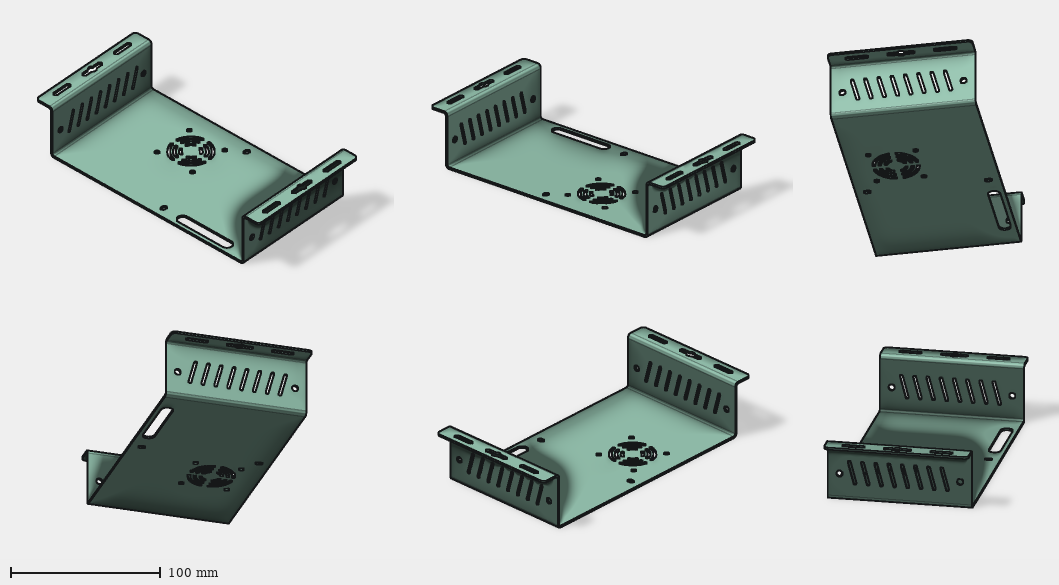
import cadquery as cq

length = 201.5
depth = 98.3
height = 41.5
sheet = 1.5
bend_inner_radius = sheet
bend_outer_radius = bend_inner_radius + sheet
tray_width = 174.5
flange_corner_radius = 3.0

flange_slot_x = 94.7
flange_slot_y = 30.0
flange_slot_length = 15.5
flange_slot_width = 3.5
keyhole_length = 18.5
keyhole_diameter = 5.8

fan_x = -20.5
fan_y = 16.5
fan_hole_pitch = 32.0
fan_hole_diameter = 3.5
fan_ring_outer_radii = (16.0, 12.0, 8.0)
fan_ring_width = 2.0
fan_spoke_width = 4.0
fan_ring_corner_radius = 0.97

screw_slot_x = 7.5
screw_slot_y = 41.0
screw_slot_length = 4.8
screw_slot_width = 3.5
cable_slot_x = 45.1
cable_slot_y = -41.7
cable_slot_length = 48.1
cable_slot_width = 8.3

wall_hole_y = 41.0
wall_hole_z = 18.5
wall_hole_diameter = 4.2
vent_count = 8
vent_row_length = 63.0
vent_pitch = vent_row_length / (vent_count - 1)
vent_center_y = 1.0
vent_center_z = 19.7
vent_length = 17.1
vent_width = 2.0
vent_tilt = 15.0


def make_sheet():
    """Hat-shaped sheet: a floor, two upright walls and two outward flanges."""
    half_length = length / 2
    wall_outside = tray_width / 2
    wall_inside = wall_outside - sheet
    flange_underside = height - sheet
    blank = (
        cq.Workplane("XZ")
        .moveTo(-half_length, height)
        .lineTo(-wall_inside, height)
        .lineTo(-wall_inside, sheet)
        .lineTo(wall_inside, sheet)
        .lineTo(wall_inside, height)
        .lineTo(half_length, height)
        .lineTo(half_length, flange_underside)
        .lineTo(wall_outside, flange_underside)
        .lineTo(wall_outside, 0)
        .lineTo(-wall_outside, 0)
        .lineTo(-wall_outside, flange_underside)
        .lineTo(-half_length, flange_underside)
        .close()
        .extrude(depth / 2, both=True)
    )
    for side in (-1, 1):
        outer_bends = ((wall_inside, height), (wall_outside, 0))
        inner_bends = ((wall_inside, sheet), (wall_outside, flange_underside))
        for bends, radius in ((outer_bends, bend_outer_radius), (inner_bends, bend_inner_radius)):
            for x, z in bends:
                edge = cq.selectors.NearestToPointSelector((side * x, 0, z))
                blank = blank.edges("|Y").edges(edge).fillet(radius)
    return blank.edges("|Z and (<X or >X)").fillet(flange_corner_radius)


def round_cutters(plane, points, diameter):
    """Round pins centred on a plane, long enough to pass through the whole bracket."""
    return cq.Workplane(plane).pushPoints(points).circle(diameter / 2).extrude(length, both=True)


def slot_cutters(plane, points, slot_length, slot_width, angle):
    """Round-ended bars centred on a plane, long enough to pass through the whole bracket."""
    bars = cq.Workplane(plane).pushPoints(points).slot2D(slot_length, slot_width, angle)
    return bars.extrude(length, both=True)


def make_flange_cuts():
    """Two slots and a central keyhole through each flange."""
    keyhole_points = [(side * flange_slot_x, 0) for side in (-1, 1)]
    slot_points = [
        (x_side * flange_slot_x, y_side * flange_slot_y)
        for x_side in (-1, 1)
        for y_side in (-1, 1)
    ]
    slots = slot_cutters("XY", slot_points, flange_slot_length, flange_slot_width, 90)
    keyhole_slots = slot_cutters("XY", keyhole_points, keyhole_length, flange_slot_width, 90)
    keyhole_rounds = round_cutters("XY", keyhole_points, keyhole_diameter)
    return slots.union(keyhole_slots).union(keyhole_rounds)


def make_fan_cuts():
    """Concentric ring slots split by a cross of spokes, with four screw holes."""
    screw_points = [
        (fan_x + x_side * fan_hole_pitch / 2, fan_y + y_side * fan_hole_pitch / 2)
        for x_side in (-1, 1)
        for y_side in (-1, 1)
    ]
    cuts = round_cutters("XY", screw_points, fan_hole_diameter)

    fan_center = cq.Workplane("XY", origin=(fan_x, fan_y, 0))
    grille_width = 2 * max(fan_ring_outer_radii)
    spoke_x = fan_center.box(grille_width, fan_spoke_width, height)
    spoke_y = fan_center.box(fan_spoke_width, grille_width, height)
    for outer_radius in fan_ring_outer_radii:
        ring = (
            fan_center.circle(outer_radius)
            .circle(outer_radius - fan_ring_width)
            .extrude(sheet)
        )
        ring_quarters = ring.cut(spoke_x).cut(spoke_y)
        cuts = cuts.union(ring_quarters.edges("|Z").fillet(fan_ring_corner_radius))
    return cuts


def make_floor_cuts():
    """Two short screw slots and one long cable slot through the floor."""
    screw_points = [(screw_slot_x, side * screw_slot_y) for side in (-1, 1)]
    cable_points = [(cable_slot_x, cable_slot_y)]
    screw_slots = slot_cutters("XY", screw_points, screw_slot_length, screw_slot_width, 90)
    cable_slot = slot_cutters("XY", cable_points, cable_slot_length, cable_slot_width, 0)
    return screw_slots.union(cable_slot)


def make_wall_cuts():
    """Tilted vent slots and two holes that pass through both walls."""
    first_vent_y = vent_center_y - vent_row_length / 2
    vent_points = [(first_vent_y + index * vent_pitch, vent_center_z) for index in range(vent_count)]
    hole_points = [(side * wall_hole_y, wall_hole_z) for side in (-1, 1)]
    vents = slot_cutters("YZ", vent_points, vent_length, vent_width, 90 - vent_tilt)
    return vents.union(round_cutters("YZ", hole_points, wall_hole_diameter))


result = (
    make_sheet()
    .cut(make_flange_cuts())
    .cut(make_fan_cuts())
    .cut(make_floor_cuts())
    .cut(make_wall_cuts())
)